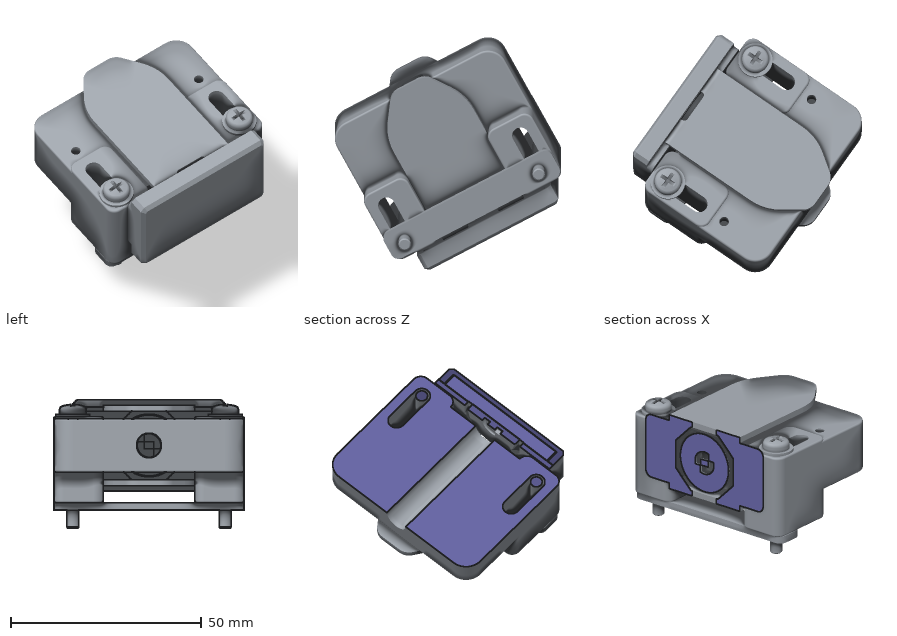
import cadquery as cq
import math


housing_width = 50.0
housing_rear = -1.8
housing_hole_radius = 3.25
edge_round = 0.5
slab_front = -39.8
slab_rear = housing_rear - 2.5
slab_height = 14.0
slab_corner = 5.0
block_length = 20.0
block_width = 13.0
block_top = 7.5
block_bottom = -15.0
block_corner = 2.5
block_center_x = housing_rear - block_length / 2
slot_travel = 10.0
slot_width = 4.4
small_hole_diameter = 2.5
small_hole_depth = 5.0
small_hole_x = slab_front + 15.0

screw_x = block_center_x + slot_travel / 2
screw_y = 20.0
shank_radius = 1.6
shank_bottom = -21.7
shank_chamfer = 0.3
washer_radius = 4.5
washer_top = block_top + 0.7
head_radius = 3.5
head_side_top = washer_top + 1.15
head_rim_radius = 2.95
head_rim_z = washer_top + 2.05
head_top = washer_top + 2.6
recess_width = 1.0
recess_half_length = 2.2
recess_rim_depth = 0.35
recess_knee = 1.55
recess_knee_depth = 0.95
recess_depth = 1.6
bar_width = 8.0
bar_height = 2.0
bar_corner = 2.0

sheet = 1.6
web_width = 40.0
web_height = 18.0
web_corner = 2.0
arm_half_width = 12.0
arm_tip_x = -42.0
arm_tip_half_width = 5.0
arm_shoulder_x = -32.0
arm_tip_round = 4.0
arm_shoulder_round = 14.0
bend_radius = 1.5
opening_across_flats = 19.2
opening_sides = 8
notch_width = 9.1
notch_round = 1.0

pad_length = 5.0
pad_width = web_width
pad_height = 24.0
pad_edge_chamfer = 1.1
pad_face_chamfer = 0.95
pocket_depth = 3.5
insert_width = 35.6
insert_height = 20.0
insert_corner = 1.5
insert_gap = 0.2

disc_radius = 8.25
disc_thickness = 2.0
disc_chamfer = 0.25
disc_recess_radius = 3.1
disc_recess_depth = 1.0
disc_post_width = 2.6
disc_post_height = 1.85


def x_box(x_start, x_end, width, height):
    """Box between two X positions, centered on the X axis."""
    return cq.Workplane("YZ", origin=(x_start, 0, 0)).rect(width, height).extrude(x_end - x_start)


def make_slab():
    slab = x_box(slab_front, slab_rear, housing_width, slab_height)
    slab = slab.edges("|Z and <X").fillet(slab_corner)
    slab = slab.faces("<X").edges(">Z or <Z").fillet(edge_round)
    return slab


def make_block(side):
    center_y = side * (housing_width - block_width) / 2
    block = (
        cq.Workplane("XY", origin=(block_center_x, center_y, block_bottom))
        .rect(block_length, block_width)
        .extrude(block_top - block_bottom)
    )
    return block.edges("|Z").fillet(block_corner).faces("|Z").edges().fillet(edge_round)


def make_housing():
    body = make_slab().union(make_block(1)).union(make_block(-1))
    slots = (
        cq.Workplane("XY", origin=(0, 0, block_bottom))
        .pushPoints([(block_center_x, -screw_y), (block_center_x, screw_y)])
        .slot2D(slot_travel + slot_width, slot_width)
        .extrude(block_top - block_bottom)
    )
    small_holes = (
        cq.Workplane("XY", origin=(0, 0, slab_height / 2))
        .pushPoints([(small_hole_x, -screw_y), (small_hole_x, screw_y)])
        .circle(small_hole_diameter / 2)
        .extrude(-small_hole_depth)
    )
    center_hole = (
        cq.Workplane("YZ", origin=(slab_front, 0, 0))
        .circle(housing_hole_radius)
        .extrude(slab_rear - slab_front)
    )
    return body.cut(slots).cut(small_holes).cut(center_hole)


def make_recess_slot():
    """One slot of the cross recess, with a floor that steepens toward its ends."""
    half_floor = recess_width / 2
    recess_rim_z = head_top - recess_rim_depth
    return (
        cq.Workplane("XZ")
        .moveTo(-recess_half_length, head_top)
        .lineTo(-recess_half_length, recess_rim_z)
        .lineTo(-recess_knee, head_top - recess_knee_depth)
        .lineTo(-half_floor, head_top - recess_depth)
        .lineTo(half_floor, head_top - recess_depth)
        .lineTo(recess_knee, head_top - recess_knee_depth)
        .lineTo(recess_half_length, recess_rim_z)
        .lineTo(recess_half_length, head_top)
        .close()
        .extrude(half_floor, both=True)
    )


def make_screw(y):
    """Pan head screw with a fixed washer, standing on the housing."""
    dome_height = head_top - head_rim_z
    dome_sphere_radius = (head_rim_radius**2 + dome_height**2) / (2 * dome_height)
    dome_middle_radius = head_rim_radius / 2
    dome_middle_z = head_top - dome_sphere_radius + math.sqrt(dome_sphere_radius**2 - dome_middle_radius**2)
    profile = (
        cq.Workplane("XZ")
        .moveTo(0, shank_bottom)
        .lineTo(shank_radius - shank_chamfer, shank_bottom)
        .lineTo(shank_radius, shank_bottom + shank_chamfer)
        .lineTo(shank_radius, block_top)
        .lineTo(washer_radius, block_top)
        .lineTo(washer_radius, washer_top)
        .lineTo(head_radius, washer_top)
        .lineTo(head_radius, head_side_top)
        .tangentArcPoint((head_rim_radius, head_rim_z), relative=False)
        .threePointArc((dome_middle_radius, dome_middle_z), (0, head_top))
        .close()
    )
    screw = profile.revolve(360, (0, 0), (0, 1))
    recess = make_recess_slot()
    screw = screw.cut(recess).cut(recess.rotate((0, 0, 0), (0, 0, 1), 90))
    return screw.translate((screw_x, y, 0))


def make_bar():
    bar = (
        cq.Workplane("XY", origin=(screw_x, 0, block_bottom))
        .rect(bar_width, housing_width)
        .extrude(-bar_height)
        .edges("|Z")
        .fillet(bar_corner)
    )
    return bar.faces(">Z").workplane().pushPoints([(0, -screw_y), (0, screw_y)]).hole(2 * shank_radius)


def make_arm(side):
    """One flat tapered arm, bent off the upper (1) or lower (-1) edge of the web."""
    arm = (
        cq.Workplane("XY", origin=(0, 0, side * web_height / 2))
        .moveTo(0, -arm_half_width)
        .lineTo(0, arm_half_width)
        .lineTo(arm_shoulder_x, arm_half_width)
        .lineTo(arm_tip_x, arm_tip_half_width)
        .lineTo(arm_tip_x, -arm_tip_half_width)
        .lineTo(arm_shoulder_x, -arm_half_width)
        .close()
        .extrude(side * sheet)
    )
    arm = arm.edges("|Z").edges("not(<X or >X)").fillet(arm_shoulder_round)
    arm = arm.edges("|Z and <X").fillet(arm_tip_round)
    outer_face = ">Z" if side > 0 else "<Z"
    return arm.faces(outer_face).edges(">X").fillet(bend_radius)


def make_notch_cutter(side):
    """Relief in a bend, with rounded ends on the side toward the arm."""
    return (
        cq.Workplane("XY", origin=(-sheet / 2, 0, side * web_height / 2))
        .rect(sheet, notch_width)
        .extrude(side * sheet)
        .edges("|Z and <X")
        .fillet(notch_round)
    )


def make_bracket():
    bracket = x_box(-sheet, 0, web_width, web_height).edges("|X").fillet(web_corner)
    half_side_angle = 180 / opening_sides
    octagon_diameter = opening_across_flats / math.cos(math.radians(half_side_angle))
    opening = (
        cq.Workplane("YZ", origin=(-sheet, 0, 0))
        .polygon(opening_sides, octagon_diameter)
        .extrude(sheet)
        .rotate((0, 0, 0), (1, 0, 0), half_side_angle)
        .intersect(x_box(-sheet, 0, web_width, web_height))
    )
    bracket = bracket.cut(opening)
    for side in (1, -1):
        bracket = bracket.union(make_arm(side).cut(make_notch_cutter(side)))
    return bracket


def make_pad():
    pad = x_box(0, pad_length, pad_width, pad_height)
    pad = pad.edges("|X").chamfer(pad_edge_chamfer)
    pad = pad.faces(">X").edges().chamfer(pad_face_chamfer)
    pocket = x_box(0, pocket_depth, insert_width + 2 * insert_gap, insert_height + 2 * insert_gap)
    return pad.cut(pocket)


def make_insert():
    return x_box(0, pocket_depth, insert_width, insert_height).edges("|X").chamfer(insert_corner)


def make_disc():
    """Disc on the insert inside the bracket opening.

    A round recess faces the housing hole. A post stands in its middle, and
    two opposite quarters beyond the corners of the post are left solid.
    """
    disc_front = -disc_thickness
    recess_floor = disc_front + disc_recess_depth
    disc = cq.Workplane("YZ", origin=(disc_front, 0, 0)).circle(disc_radius).extrude(disc_thickness)
    disc = disc.faces("<X").edges().chamfer(disc_chamfer)
    recess = (
        cq.Workplane("YZ", origin=(disc_front, 0, 0))
        .circle(disc_recess_radius)
        .extrude(disc_recess_depth)
        .cut(x_box(disc_front, recess_floor, disc_post_width, disc_post_height))
    )
    quarter = x_box(disc_front, recess_floor, disc_recess_radius, disc_recess_radius)
    quarter_y = (disc_post_width + disc_recess_radius) / 2
    quarter_z = (disc_post_height + disc_recess_radius) / 2
    for side in (1, -1):
        recess = recess.cut(quarter.translate((0, side * quarter_y, side * quarter_z)))
    return disc.cut(recess)


housing = make_housing()
screws = [make_screw(y) for y in (-screw_y, screw_y)]
bar = make_bar()
bracket = make_bracket()
pad = make_pad()
insert = make_insert()
disc = make_disc()

result = cq.Compound.makeCompound(
    [
        housing.val(),
        *[screw.val() for screw in screws],
        bar.val(),
        bracket.val(),
        pad.val(),
        insert.val(),
        disc.val(),
    ]
)